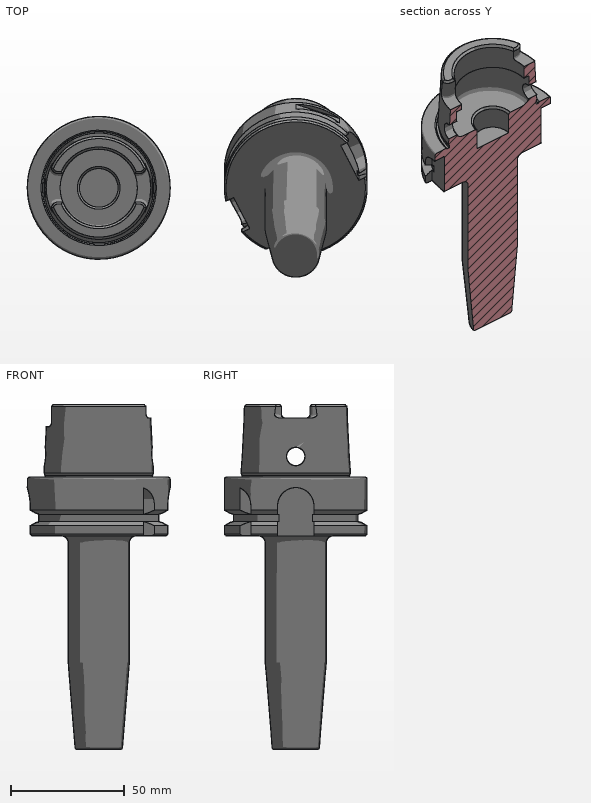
import math

import cadquery as cq


shank_height = 32.0
taper_base_radius = 24.25
taper_per_side = 0.05
rim_chamfer = 1.0
rim_chamfer_z = shank_height - rim_chamfer

relief_height = 1.8
relief_depth = 0.6
relief_neck_radius = 23.7
relief_outer_radius = 25.4

flange_radius = 31.5
flange_thickness = 26.0
flange_top_fillet = 1.2
flange_bottom_chamfer = 0.8
groove_radius = 27.5
groove_centre_z = -18.05
groove_floor_width = 3.1
groove_land_radius = 29.0
groove_land_width = 4.0
groove_flank_angle = 30.0

nose_end_z = -120.0
nose_radius = 13.5
nose_tip_radius = 10.5
nose_taper_angle = 4.5
nose_root_fillet = 3.0
nose_tip_fillet = 1.0

bore_radius = 17.0
undercut_radius = 19.5
undercut_top_z = 18.8
undercut_floor_fillet = 3.5
bore_floor_z = 2.5
seat_radius = 8.5
seat_chamfer = 0.9
seat_depth = 12.0

cross_hole_diameter = 8.0
cross_hole_z = 9.0

slot_width = 12.5
slot_corner_radius = 3.0
slot_shoulder_x = 20.9
slot_floor_fillet = 1.5
slot_flare_angle = 40.0
deep_slot_floor_z = 22.2
shallow_slot_floor_z = 26.0

wide_keyway_width = 18.0
narrow_keyway_width = 16.0
keyway_floor_x = 26.5
keyway_top_z = -4.7

notch_wall_offset = 19.8
notch_runout_z = -12.4
notch_runout_radius = 8.4

flat_distance = 29.85
flat_top_z = -3.8
flat_bottom_z = -10.0
flat_direction = 135.0

clearance = 10.0


def taper_radius(z):
    return taper_base_radius - taper_per_side * z


def make_body():
    """Revolve the outer profile, from the nose tip up to the shank rim."""
    flank_height = (flange_radius - groove_land_radius) * math.tan(math.radians(groove_flank_angle))
    floor_half_width = groove_floor_width / 2
    land_half_width = groove_land_width / 2
    mouth_half_width = land_half_width + flank_height
    nose_taper_length = (nose_radius - nose_tip_radius) / math.tan(math.radians(nose_taper_angle))
    root_offset_45 = nose_root_fillet * (1 - math.cos(math.radians(45)))
    top_offset_45 = flange_top_fillet * (1 - math.cos(math.radians(45)))
    tip_offset_45 = nose_tip_fillet * (1 - math.cos(math.radians(45)))

    profile = (
        cq.Workplane("XZ")
        .moveTo(0, nose_end_z)
        .lineTo(nose_tip_radius - nose_tip_fillet, nose_end_z)
        .threePointArc(
            (nose_tip_radius - tip_offset_45, nose_end_z + tip_offset_45),
            (nose_tip_radius, nose_end_z + nose_tip_fillet),
        )
        .lineTo(nose_radius, nose_end_z + nose_taper_length)
        .lineTo(nose_radius, -flange_thickness - nose_root_fillet)
        .threePointArc(
            (nose_radius + root_offset_45, -flange_thickness - root_offset_45),
            (nose_radius + nose_root_fillet, -flange_thickness),
        )
        .lineTo(flange_radius - flange_bottom_chamfer, -flange_thickness)
        .lineTo(flange_radius, -flange_thickness + flange_bottom_chamfer)
        .lineTo(flange_radius, groove_centre_z - mouth_half_width)
        .lineTo(groove_land_radius, groove_centre_z - land_half_width)
        .lineTo(groove_radius, groove_centre_z - floor_half_width)
        .lineTo(groove_radius, groove_centre_z + floor_half_width)
        .lineTo(groove_land_radius, groove_centre_z + land_half_width)
        .lineTo(flange_radius, groove_centre_z + mouth_half_width)
        .lineTo(flange_radius, -flange_top_fillet)
        .threePointArc(
            (flange_radius - top_offset_45, -top_offset_45),
            (flange_radius - flange_top_fillet, 0),
        )
        .lineTo(relief_outer_radius, 0)
        .lineTo(relief_outer_radius - relief_depth, -relief_depth)
        .lineTo(relief_neck_radius, -relief_depth)
        .lineTo(relief_neck_radius, relief_depth)
        .lineTo(taper_radius(relief_height), relief_height)
        .lineTo(taper_radius(rim_chamfer_z), rim_chamfer_z)
        .lineTo(taper_radius(rim_chamfer_z) - rim_chamfer, shank_height)
        .lineTo(0, shank_height)
        .close()
    )
    return profile.revolve(360, (0, 0, 0), (0, 1, 0))


def make_bore():
    """Clamping bore, undercut below its mouth, with the chamfered coolant tube seat."""
    fillet_offset_45 = undercut_floor_fillet * (1 - math.cos(math.radians(45)))
    return (
        cq.Workplane("XZ")
        .moveTo(0, shank_height)
        .lineTo(bore_radius + rim_chamfer, shank_height)
        .lineTo(bore_radius, rim_chamfer_z)
        .lineTo(bore_radius, undercut_top_z)
        .lineTo(undercut_radius, undercut_top_z)
        .lineTo(undercut_radius, bore_floor_z + undercut_floor_fillet)
        .threePointArc(
            (undercut_radius - fillet_offset_45, bore_floor_z + fillet_offset_45),
            (undercut_radius - undercut_floor_fillet, bore_floor_z),
        )
        .lineTo(seat_radius + seat_chamfer, bore_floor_z)
        .lineTo(seat_radius, bore_floor_z - seat_chamfer)
        .lineTo(seat_radius, bore_floor_z - seat_depth)
        .lineTo(0, bore_floor_z - seat_depth)
        .close()
        .revolve(360, (0, 0, 0), (0, 1, 0))
    )


def make_cross_hole():
    return (
        cq.Workplane("YZ")
        .center(0, cross_hole_z)
        .circle(cross_hole_diameter / 2)
        .extrude(flange_radius, both=True)
    )


def make_drive_slot(side, floor_z):
    """Slot with outward-rounded walls and a filleted floor; side is +1 for +X, -1 for -X."""
    half_width = slot_width / 2
    corner_end_y = half_width + slot_corner_radius
    corner_start_x = slot_shoulder_x - slot_corner_radius
    corner_mid = slot_corner_radius * math.sin(math.radians(45))
    mid_x = corner_start_x + corner_mid
    mid_y = corner_end_y - corner_mid
    outer_x = taper_base_radius + clearance
    outer_y = corner_end_y + clearance
    outline = (
        cq.Workplane("XY")
        .moveTo(0, -half_width)
        .lineTo(side * corner_start_x, -half_width)
        .threePointArc((side * mid_x, -mid_y), (side * slot_shoulder_x, -corner_end_y))
        .lineTo(side * slot_shoulder_x, -outer_y)
        .lineTo(side * outer_x, -outer_y)
        .lineTo(side * outer_x, outer_y)
        .lineTo(side * slot_shoulder_x, outer_y)
        .lineTo(side * slot_shoulder_x, corner_end_y)
        .threePointArc((side * mid_x, mid_y), (side * corner_start_x, half_width))
        .lineTo(0, half_width)
        .close()
        .val()
    )
    lower = cq.Workplane(obj=outline.moved(cq.Location((0, 0, floor_z)))).toPending()
    slot = lower.extrude(shank_height - floor_z).faces("<Z").edges().fillet(slot_floor_fillet)
    upper = cq.Workplane(obj=outline.moved(cq.Location((0, 0, rim_chamfer_z)))).toPending()
    flared_mouth = upper.extrude(rim_chamfer, taper=-slot_flare_angle)
    return slot.union(flared_mouth)


def make_keyway(side, width):
    """Round-topped keyway, open at the flange underside; side is +1 for +X, -1 for -X."""
    radius = width / 2
    arc_centre_z = keyway_top_z - radius
    return (
        cq.Workplane("YZ", origin=(side * keyway_floor_x, 0, 0))
        .moveTo(-radius, -flange_thickness)
        .lineTo(-radius, arc_centre_z)
        .threePointArc((0, keyway_top_z), (radius, arc_centre_z))
        .lineTo(radius, -flange_thickness)
        .close()
        .extrude(side * clearance)
    )


def make_orientation_notch():
    """Right-angled corner notch whose -Y facing wall runs out upward on an arc."""
    run_out_end_y = -notch_wall_offset - notch_runout_radius
    arc_mid = notch_runout_radius * math.sin(math.radians(45))
    return (
        cq.Workplane("YZ", origin=(notch_wall_offset, 0, 0))
        .moveTo(-notch_wall_offset, -flange_thickness)
        .lineTo(-notch_wall_offset, notch_runout_z)
        .threePointArc(
            (run_out_end_y + arc_mid, notch_runout_z + arc_mid),
            (run_out_end_y, notch_runout_z + notch_runout_radius),
        )
        .lineTo(run_out_end_y, -flange_thickness)
        .close()
        .extrude(clearance)
    )


def make_flange_flat():
    height = flat_top_z - flat_bottom_z
    return (
        cq.Workplane("XY")
        .box(clearance, 2 * flange_radius, height, centered=(False, True, False))
        .translate((flat_distance, 0, flat_bottom_z))
        .rotate((0, 0, 0), (0, 0, 1), flat_direction)
    )


body = make_body().cut(make_bore())
body = body.cut(make_drive_slot(-1, deep_slot_floor_z))
body = body.cut(make_drive_slot(1, shallow_slot_floor_z))
body = body.cut(make_cross_hole())
body = body.cut(make_keyway(-1, wide_keyway_width))
body = body.cut(make_keyway(1, narrow_keyway_width))
body = body.cut(make_orientation_notch())
result = body.cut(make_flange_flat())